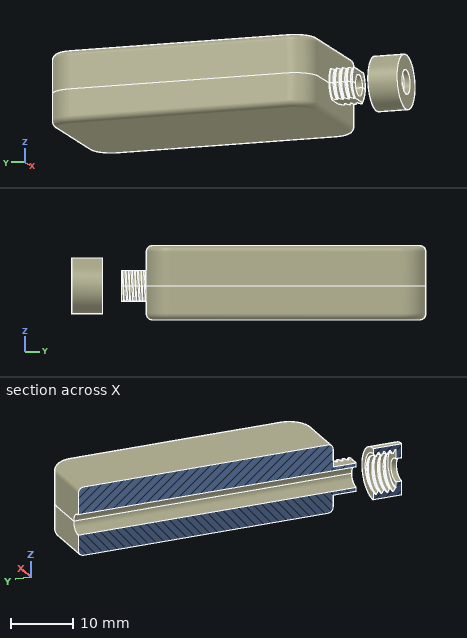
import cadquery as cq

BOX_WIDTH = 25.0
BOX_LENGTH = 45.0
BOX_HEIGHT = 12.0
BASE_HEIGHT = 5.5
LID_HEIGHT = BOX_HEIGHT - BASE_HEIGHT
CORNER_RADIUS = 4.0
EDGE_FILLET = 1.0
FRONT_FACE_Y = -BOX_LENGTH / 2

THREAD_ROOT_RADIUS = 6.04 / 2
THREAD_CREST_RADIUS = 7.15 / 2
THREAD_PITCH = 1.0
THREAD_BASE_WIDTH = 0.8
THREAD_CREST_WIDTH = 0.12
RIDGE_RUN_OUT = 2 * THREAD_PITCH
CORE_RUN_OUT = 3 * THREAD_PITCH
RIDGE_DEPTH_IN_CORE = 0.1

NOZZLE_LENGTH = 4.0
NOZZLE_FLAT_HEIGHT = 2.5
NOZZLE_CREST_OFFSET = 0.3
NOZZLE_TIP_Y = FRONT_FACE_Y - NOZZLE_LENGTH
CABLE_BORE_DIAMETER = 3.5

CAP_DIAMETER = 9.0
CAP_LENGTH = 5.0
CAP_GAP = 3.0
CAP_HOLE_DIAMETER = 4.0
CAP_FLOOR = 1.0
CAP_CREST_OFFSET = 0.3
CAP_BACK_Y = NOZZLE_TIP_Y - CAP_GAP
CAP_FRONT_Y = CAP_BACK_Y - CAP_LENGTH


def rod(radius, start_y, length):
    """Cylinder on the nozzle axis, running from start_y toward +Y."""
    plane = cq.Plane(origin=(0, start_y, 0), xDir=(1, 0, 0), normal=(0, 1, 0))
    return cq.Workplane(plane).circle(radius).extrude(length)


def threaded_rod(start_y, length, crest_offset):
    """Rod with a right-hand ridge; on the +X side a crest lies crest_offset past start_y."""
    first_crest = crest_offset - RIDGE_RUN_OUT
    ridge_length = length + 2 * RIDGE_RUN_OUT - crest_offset
    helix = cq.Wire.makeHelix(THREAD_PITCH, ridge_length, THREAD_ROOT_RADIUS)
    half_base = THREAD_BASE_WIDTH / 2
    half_crest = THREAD_CREST_WIDTH / 2
    flank_slope = (half_base - half_crest) / (THREAD_CREST_RADIUS - THREAD_ROOT_RADIUS)
    buried_radius = THREAD_ROOT_RADIUS - RIDGE_DEPTH_IN_CORE
    half_buried = half_base + RIDGE_DEPTH_IN_CORE * flank_slope
    ridge = (
        cq.Workplane("XZ")
        .polyline([
            (buried_radius, -half_buried),
            (THREAD_CREST_RADIUS, -half_crest),
            (THREAD_CREST_RADIUS, half_crest),
            (buried_radius, half_buried),
        ])
        .close()
        .sweep(cq.Workplane(helix), isFrenet=True)
        .rotate((0, 0, 0), (1, 0, 0), -90)
        .translate((0, start_y + first_crest, 0))
    )
    core = rod(THREAD_ROOT_RADIUS, start_y - CORE_RUN_OUT, length + 2 * CORE_RUN_OUT)
    envelope = rod(2 * THREAD_CREST_RADIUS, start_y, length)
    return ridge.union(core, clean=False).intersect(envelope, clean=False)


def make_box():
    return (
        cq.Workplane("XY", origin=(0, 0, -BASE_HEIGHT))
        .rect(BOX_WIDTH, BOX_LENGTH)
        .extrude(BOX_HEIGHT)
        .edges("|Z")
        .fillet(CORNER_RADIUS)
        .faces("<Z or >Z")
        .edges()
        .fillet(EDGE_FILLET)
    )


def make_nozzle():
    thread = threaded_rod(NOZZLE_TIP_Y, NOZZLE_LENGTH, NOZZLE_CREST_OFFSET)
    between_flats = cq.Workplane("XY").box(BOX_WIDTH, 2 * BOX_LENGTH, 2 * NOZZLE_FLAT_HEIGHT)
    return thread.intersect(between_flats, clean=False)


def make_enclosure():
    """Box and nozzle in one piece, with the cable bore right through."""
    bore = rod(CABLE_BORE_DIAMETER / 2, NOZZLE_TIP_Y, NOZZLE_LENGTH + BOX_LENGTH)
    return make_box().union(make_nozzle(), clean=False).cut(bore, clean=False)


def half_of(enclosure, height):
    """Part of the enclosure above the split plane, or below it for a negative height."""
    side = cq.Workplane("XY").rect(2 * BOX_WIDTH, 2 * BOX_LENGTH).extrude(height)
    return enclosure.intersect(side, clean=False)


def make_cap():
    socket_start_y = CAP_FRONT_Y + CAP_FLOOR
    blank = rod(CAP_DIAMETER / 2, CAP_FRONT_Y, CAP_LENGTH)
    socket = threaded_rod(socket_start_y, CAP_LENGTH - CAP_FLOOR, CAP_CREST_OFFSET)
    hole = rod(CAP_HOLE_DIAMETER / 2, CAP_FRONT_Y, CAP_LENGTH)
    return blank.cut(socket, clean=False).cut(hole, clean=False)


enclosure = make_enclosure()
lid = half_of(enclosure, LID_HEIGHT)
base = half_of(enclosure, -BASE_HEIGHT)
cap = make_cap()

result = cq.Compound.makeCompound([lid.solids().val(), base.solids().val(), cap.solids().val()])